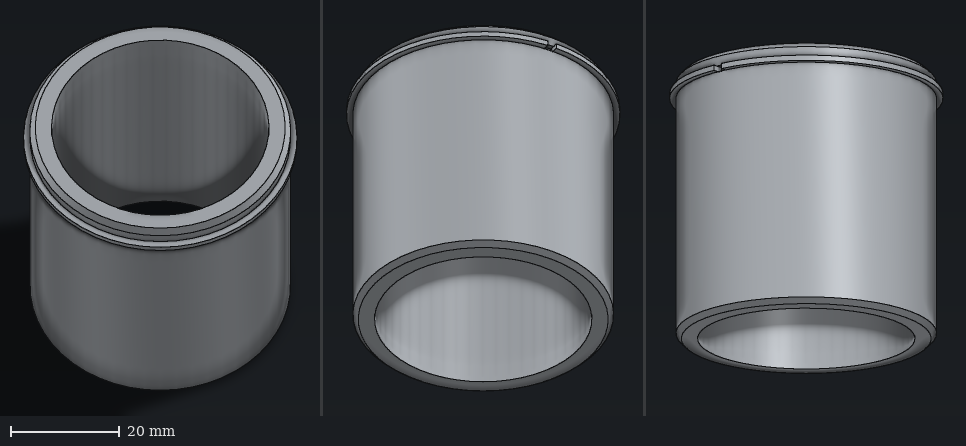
import cadquery as cq

sleeve_length = 50.0
sleeve_diameter = 48.0
bore_diameter = 40.0
end_chamfer = 1.0

groove_top_offset = 2.8
groove_depth = 1.0
ring_clearance = 0.15

ring_diameter = 50.4
ring_height = 1.0
ring_gap = 1.8

groove_height = ring_height + ring_clearance
groove_floor_diameter = sleeve_diameter - 2 * groove_depth
groove_bottom = sleeve_length - groove_top_offset - groove_height


def annulus(outer_diameter, inner_diameter, height, bottom):
    """Flat-ended tube about Z, standing on the given height."""
    return (
        cq.Workplane("XY", origin=(0, 0, bottom))
        .circle(outer_diameter / 2)
        .circle(inner_diameter / 2)
        .extrude(height)
    )


def make_sleeve():
    """Tube with chamfered outer ends and a groove for the ring."""
    body = cq.Workplane("XY").circle(sleeve_diameter / 2).extrude(sleeve_length)
    body = body.faces("<Z or >Z").edges().chamfer(end_chamfer)
    bore = cq.Workplane("XY").circle(bore_diameter / 2).extrude(sleeve_length)
    groove = annulus(ring_diameter, groove_floor_diameter, groove_height, groove_bottom)
    return body.cut(bore).cut(groove)


def make_retaining_ring():
    """Ring resting on the groove's lower wall, with a parallel-sided gap at +Y."""
    ring = annulus(ring_diameter, groove_floor_diameter, ring_height, groove_bottom)
    gap = cq.Workplane("XY", origin=(0, 0, groove_bottom)).box(
        ring_gap, ring_diameter, ring_height, centered=(True, False, False)
    )
    return ring.cut(gap)


sleeve = make_sleeve()
retaining_ring = make_retaining_ring()

result = cq.Compound.makeCompound([sleeve.val(), retaining_ring.val()])